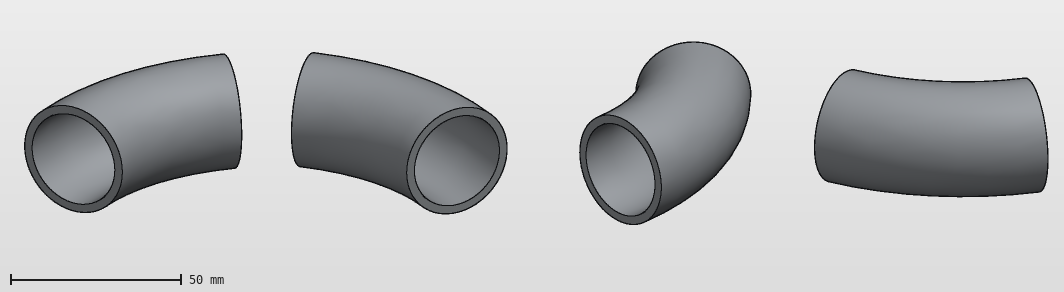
import cadquery as cq
import math

overall_length = 63.5
outer_diameter = 33.7
wall_thickness = 2.6
bend_angle = 45.0

outer_radius = outer_diameter / 2
inner_radius = outer_radius - wall_thickness

outer_bend_radius = overall_length / math.sin(math.radians(bend_angle))
bend_radius = outer_bend_radius - outer_radius

bend_axis_start = (bend_radius, 0.65, 0)
bend_axis_end = (bend_radius, 0, 0)

result = (
    cq.Workplane("XZ")
    .circle(outer_radius)
    .circle(inner_radius)
    .revolve(bend_angle, bend_axis_start, bend_axis_end)
)